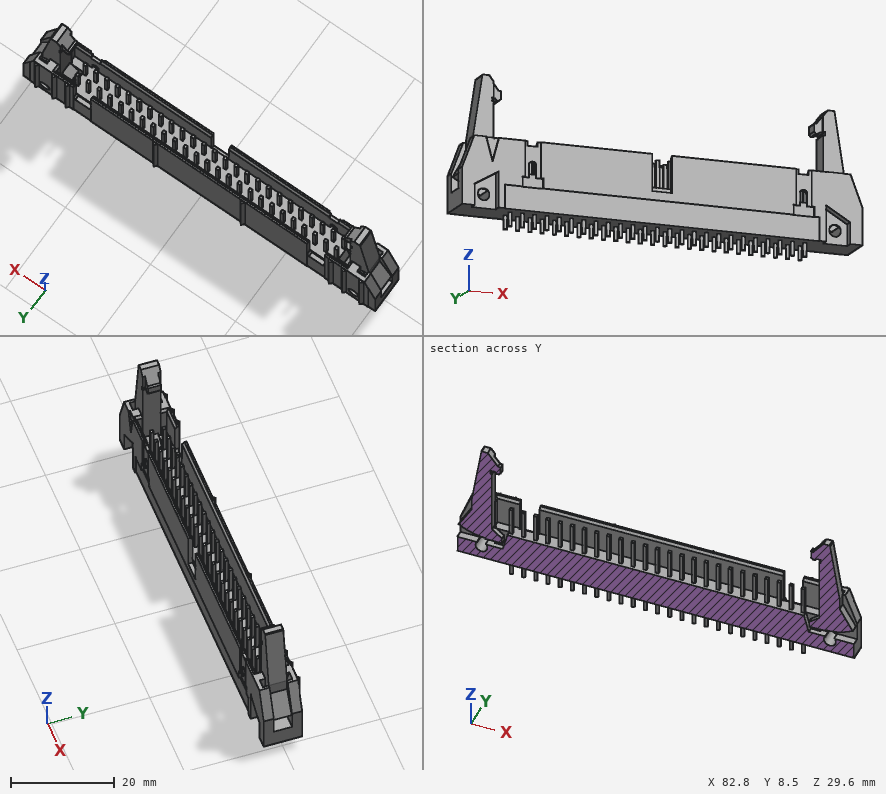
import cadquery as cq


length = 82.8
depth = 7.9
height = 13.9
overall_height = 29.6
overall_depth = 8.5
half = length / 2
mid_y = depth / 2
shoulder_height = 7.45
shoulder_run = 2.5
back_pad_half = 39.8
back_pad = 0.1
back_face = depth + back_pad

rib_positions = (10.3, 31.0, 34.1, 38.2)
rib_reach = overall_depth - depth
rib_half_width = 0.7
rib_bottom = 0.2
rib_height = 13.6

cavity_half = 34.2
cavity_front = 0.9
cavity_back = 7.0
cavity_floor = 7.45
cavity_chamfer = 0.5

columns = 25
row_length = 60.9
pitch = row_length / (columns - 1)
pin_width = 0.64
tail_diameter = 0.7
pin_bottom = -2.7
pin_top = 13.4

key_width = 4.1
key_floor = 6.45

channel_xs = (-26.75, 29.3)
channel_width = 3.2
channel_depth = 0.25
foot_relief_width = 4.3
foot_relief_depth = 0.5
foot_relief_top = 6.7
window_width = 1.5
window_top = 9.9
notch_width = 2.1
notch_floor = 13.0
back_gap_x = 27.5
back_gap_width = 4.1
back_gap_foot_width = 3.3
back_gap_foot_floor = 6.7
back_gap_front = 6.9

band_half = 32.5
band_height = 4.7
band_depth = 0.25

recess_outer = 38.8
recess_inner = 33.9
recess_low = 4.3
recess_high = 7.2
recess_depth = 1.65
hole_x = 36.35
hole_z = 2.8
hole_diameter = 2.4

mark_x = 35.1
mark_half_width = 1.3
mark_tip = 9.1
mark_depth = 0.3

latch_width = 3.7
hook_width = 2.65
slot_floor = 3.65
slot_inner = 33.95
toe_slot_bottom = 32.0
toe_slot_end = 31.0
latch_top = overall_height + pin_bottom
latch_inner = 34.1
lever_outer = 38.4
lever_knee = 11.5
lever_bend = 14.1
lever_heel_x = 41.15
lever_heel_z = 6.8
lever_bottom = 5.1
lever_belly_x = 38.1
lever_belly_z = 5.5
lever_tip = 36.4
tip_corner = 0.2
slope_run = 0.9
slope_drop = 1.2
brow = latch_top - slope_drop
hook_run = 1.25
hook_tip = 32.4
hook_shoulder = 24.0
hook_lip = 0.4
toe_tip = 32.05
toe_heel = 35.6
toe_top = 6.2
toe_root = 7.9
toe_bottom = 4.9
nick_depth = 0.3
nick_height = 0.7
nick_top = 22.4
pocket_x = 37.4
pocket_length = 1.8
pocket_width = 1.2
pocket_flat = 0.4
pivot_radius = 0.8
pocket_depth = 2.5


def block(x_mid, width, y0, y1, z0, z1):
    """Box centred on x_mid between the given Y and Z limits."""
    box = cq.Workplane("XY").box(width, y1 - y0, z1 - z0, centered=(True, False, False))
    return box.translate((x_mid, y0, z0))


def profile(points, y0, y1):
    """Prism with an XZ outline, running from y0 to y1."""
    return cq.Workplane("XZ").polyline(points).close().extrude(-(y1 - y0)).translate((0, y0, 0))


def both_ends(shape):
    """The shape together with its mirror image about X = 0."""
    return shape.union(shape.mirror("YZ"))


def across(width):
    """Y limits of a strip centred on the housing."""
    return mid_y - width / 2, mid_y + width / 2


def housing():
    outline = [
        (-half, 0),
        (half, 0),
        (half, shoulder_height),
        (half - shoulder_run, height),
        (shoulder_run - half, height),
        (-half, shoulder_height),
    ]
    body = profile(outline, 0, depth)
    panel = profile(outline, depth, back_face)
    return body.union(panel.intersect(block(0, 2 * back_pad_half, depth, back_face, 0, height)))


def crush_ribs():
    ribs = cq.Workplane("XY").workplane(offset=rib_bottom)
    for x in rib_positions:
        for side in (-1, 1):
            ribs = ribs.moveTo(side * x - rib_half_width, depth)
            ribs = ribs.lineTo(side * x, depth + rib_reach).lineTo(side * x + rib_half_width, depth).close()
    return ribs.extrude(rib_height - rib_bottom)


def cavity():
    pocket = block(0, 2 * cavity_half, cavity_front, cavity_back, cavity_floor, height)
    mouth = (
        cq.Workplane("XY", origin=(0, (cavity_front + cavity_back) / 2, height - cavity_chamfer))
        .rect(2 * cavity_half, cavity_back - cavity_front)
        .workplane(offset=cavity_chamfer)
        .rect(2 * (cavity_half + cavity_chamfer), cavity_back - cavity_front + 2 * cavity_chamfer)
        .loft(combine=True)
    )
    return pocket.union(mouth)


def pins():
    grid = cq.Workplane("XY", origin=(0, mid_y, 0)).rarray(pitch, pitch, columns, 2)
    tails = grid.circle(tail_diameter / 2).extrude(pin_bottom)
    return tails.union(grid.rect(pin_width, pin_width).extrude(pin_top))


def front_relief(x):
    """Channel with a wider foot, an arched snap window and a notch in the front wall."""
    spring = window_top - window_width / 2
    cut = block(x, channel_width, 0, channel_depth, foot_relief_top, height)
    cut = cut.union(block(x, foot_relief_width, 0, foot_relief_depth, band_height, foot_relief_top))
    cut = cut.union(block(x, notch_width, 0, cavity_front, notch_floor, height))
    cut = cut.union(block(x, window_width, 0, foot_relief_depth, foot_relief_top, cavity_floor))
    cut = cut.union(block(x, window_width, 0, cavity_front, cavity_floor, spring))
    arch = cq.Workplane("XZ").center(x, spring).circle(window_width / 2).extrude(-cavity_front)
    return cut.union(arch)


def back_gap():
    """Gap in the back wall with a tapered foot below the cavity floor (left end)."""
    top = back_gap_width / 2
    foot = back_gap_foot_width / 2
    outline = [
        (-back_gap_x - top, height),
        (-back_gap_x - top, cavity_floor),
        (-back_gap_x - foot, back_gap_foot_floor),
        (-back_gap_x + foot, back_gap_foot_floor),
        (-back_gap_x + top, cavity_floor),
        (-back_gap_x + top, height),
    ]
    pad_relief = block(-back_gap_x, back_gap_width, depth, back_face, 0, height)
    return profile(outline, back_gap_front, back_face).union(pad_relief)


def mounting():
    """Sloping-topped recess with a through hole (left end)."""
    outline = [
        (-recess_outer, 0),
        (-recess_inner, 0),
        (-recess_inner, recess_high),
        (-recess_outer, recess_low),
    ]
    hole = cq.Workplane("XZ").center(-hole_x, hole_z).circle(hole_diameter / 2).extrude(-back_face)
    return profile(outline, 0, recess_depth).union(hole)


def pin_one_mark():
    outline = [(-mark_x - mark_half_width, height), (-mark_x + mark_half_width, height), (-mark_x, mark_tip)]
    return profile(outline, 0, mark_depth)


def latch_slot():
    """Slot through the end tower, a toe slot with a sloping end and pivot pockets (left end)."""
    slot = block(-(half + slot_inner) / 2, half - slot_inner, *across(latch_width), slot_floor, height)
    toe = [
        (-slot_inner, slot_floor),
        (-toe_slot_bottom, slot_floor),
        (-toe_slot_end, cavity_floor),
        (-slot_inner, cavity_floor),
    ]
    mouth = latch_width / 2 + pocket_width
    base = latch_width / 2 + pocket_flat
    pocket_floor = height - pocket_depth
    pocket = [(-mouth, height), (-base, pocket_floor), (base, pocket_floor), (mouth, height)]
    pockets = cq.Workplane("YZ", origin=(-pocket_x, mid_y, 0)).polyline(pocket).close()
    pockets = pockets.extrude(pocket_length / 2, both=True)
    return slot.union(profile(toe, *across(hook_width))).union(pockets)


def lever():
    """Full-width arm of the latch with a rounded underside (left end)."""
    return (
        cq.Workplane("XZ", origin=(0, mid_y, 0))
        .moveTo(-latch_inner - slope_run, latch_top)
        .lineTo(-latch_inner, brow)
        .lineTo(-latch_inner, lever_bottom)
        .threePointArc((-lever_belly_x, lever_belly_z), (-lever_heel_x, lever_heel_z))
        .lineTo(-lever_outer, lever_knee)
        .lineTo(-lever_outer, lever_bend)
        .lineTo(-lever_tip, latch_top - tip_corner)
        .lineTo(-lever_tip + tip_corner, latch_top)
        .close()
        .extrude(latch_width / 2, both=True)
    )


def latch():
    """Lever with a narrow hook and toe, and pivot pegs on both sides (left end)."""
    hook = [
        (-latch_inner, brow),
        (-latch_inner + hook_run, brow - hook_run * slope_drop / slope_run),
        (-hook_tip, hook_shoulder),
        (-hook_tip, nick_top),
        (-hook_tip - hook_lip, nick_top - hook_lip),
        (-hook_tip - 2 * hook_lip, nick_top - hook_lip),
        (-hook_tip - 3 * hook_lip, nick_top),
        (-latch_inner, nick_top),
    ]
    toe = [
        (-latch_inner, toe_root),
        (-toe_tip, toe_top),
        (-toe_tip, toe_bottom),
        (-toe_heel, toe_bottom),
        (-toe_heel, toe_root),
    ]
    nick = block(-latch_inner, 2 * nick_depth, *across(latch_width), nick_top - nick_height, nick_top)
    pegs = cq.Workplane("XZ", origin=(0, mid_y, 0)).center(-pocket_x, height - pocket_depth)
    pegs = pegs.circle(pivot_radius).extrude(latch_width / 2 + pocket_flat, both=True)
    arm = lever().cut(nick).union(pegs)
    return arm.union(profile(hook, *across(hook_width))).union(profile(toe, *across(hook_width)))


key_slot = block(0, key_width, 0, cavity_front, key_floor, height)
lower_band = block(0, 2 * band_half, 0, band_depth, 0, band_height)

result = housing().union(crush_ribs()).cut(cavity()).cut(key_slot).cut(lower_band)
for channel_x in channel_xs:
    result = result.cut(front_relief(channel_x))
result = result.cut(both_ends(back_gap())).cut(both_ends(mounting())).cut(pin_one_mark())
result = result.cut(both_ends(latch_slot())).union(both_ends(latch())).union(pins())